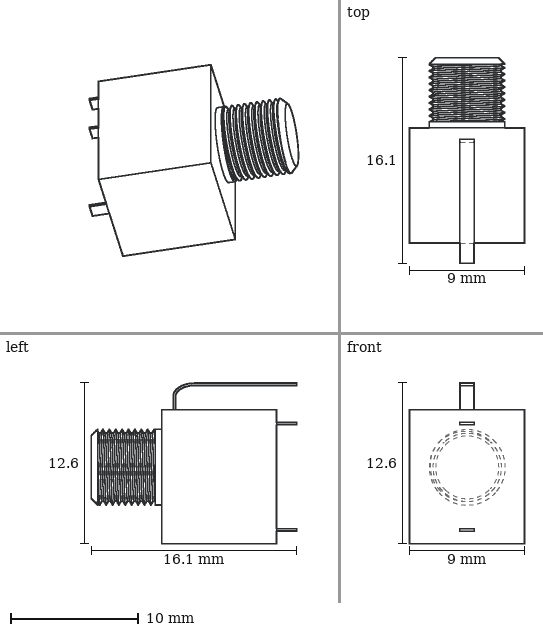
import cadquery as cq
import math

body_width = 9.0
body_depth = 9.0
body_height = 10.5
axis_height = 6.0
body_bottom = -axis_height
body_top = body_bottom + body_height

bushing_length = 5.5
collar_length = 0.5
tip_chamfer = 0.5
major_radius = 5.93 / 2
core_radius = 5.35 / 2
ring_face = bushing_length - tip_chamfer

thread_pitch = 0.5
thread_half_angle = math.radians(30)
spare_turns = 2
thread_root_overlap = 0.05
crest_offset = 0.08

terminal_width = 1.1
terminal_thickness = 0.2
terminal_reach = 1.58
pin_edge_gap = 1.0
rear_face = -body_depth
terminal_end = rear_face - terminal_reach

lead_rise = 2.08
lead_setback = 0.9
bend_length = 1.7
bend_height = 1.07


def make_body():
    """Plain rectangular housing."""
    return cq.Workplane("XY").box(body_width, body_depth, body_height).translate(
        (0, -body_depth / 2, body_bottom + body_height / 2)
    )


def make_bushing_core():
    """Collar, thread core and chamfered tip ring, revolved about Y."""
    return (
        cq.Workplane("XY")
        .lineTo(major_radius, 0)
        .lineTo(major_radius, collar_length)
        .lineTo(core_radius, collar_length)
        .lineTo(core_radius, ring_face)
        .lineTo(major_radius, ring_face)
        .lineTo(major_radius - tip_chamfer, bushing_length)
        .lineTo(0, bushing_length)
        .close()
        .revolve(360, (0, 0, 0), (0, 1, 0))
    )


def make_thread():
    """Core with a V ridge swept along a helix, trimmed between collar and tip ring."""
    turns = math.ceil((ring_face - collar_length) / thread_pitch) + spare_turns
    root_radius = core_radius - thread_root_overlap
    half_base = (major_radius - root_radius) * math.tan(thread_half_angle)
    helix = cq.Wire.makeHelix(thread_pitch, turns * thread_pitch, root_radius)
    ridge = (
        cq.Workplane("XZ")
        .moveTo(root_radius, -half_base)
        .lineTo(major_radius, 0)
        .lineTo(root_radius, half_base)
        .close()
        .sweep(cq.Workplane(obj=helix), isFrenet=True)
    )
    start = collar_length + crest_offset - thread_pitch
    ridge = ridge.translate((0, 0, start))
    core = cq.Workplane("XY", origin=(0, 0, start - thread_pitch)).circle(core_radius).extrude(
        (turns + spare_turns) * thread_pitch
    )
    trim = (
        cq.Workplane("XY", origin=(0, 0, collar_length))
        .circle(major_radius + thread_pitch)
        .extrude(ring_face - collar_length)
    )
    threaded = core.union(ridge).intersect(trim)
    return threaded.rotate((0, 0, 0), (0, 0, 1), -90).rotate((0, 0, 0), (1, 0, 0), -90)


def make_pin(bottom):
    """Straight flat pin leaving the rear face."""
    return cq.Workplane("XY").box(
        terminal_width, terminal_reach, terminal_thickness, centered=(True, False, False)
    ).translate((0, terminal_end, bottom))


def make_bent_lead():
    """Strip that rises from the top face, bends and runs back over the housing."""
    outer_y = -lead_setback
    inner_y = outer_y - terminal_thickness
    outer_z = body_top + lead_rise
    inner_z = outer_z - terminal_thickness
    bend_y = outer_y - bend_length
    bend_z = outer_z - bend_height
    return (
        cq.Workplane("YZ", origin=(-terminal_width / 2, 0, 0))
        .moveTo(outer_y, body_top)
        .lineTo(outer_y, bend_z)
        .ellipseArc(bend_length, bend_height, 0, 90, startAtCurrent=True)
        .lineTo(terminal_end, outer_z)
        .lineTo(terminal_end, inner_z)
        .lineTo(bend_y, inner_z)
        .ellipseArc(
            bend_length - terminal_thickness, bend_height - terminal_thickness, 0, 90,
            startAtCurrent=True, sense=-1,
        )
        .lineTo(inner_y, body_top)
        .close()
        .extrude(terminal_width)
    )


lower_pin_bottom = body_bottom + pin_edge_gap
upper_pin_bottom = body_top - pin_edge_gap - terminal_thickness

result = make_body().union(make_bushing_core()).union(make_thread())
for pin_bottom in (lower_pin_bottom, upper_pin_bottom):
    result = result.union(make_pin(pin_bottom))
result = result.union(make_bent_lead())